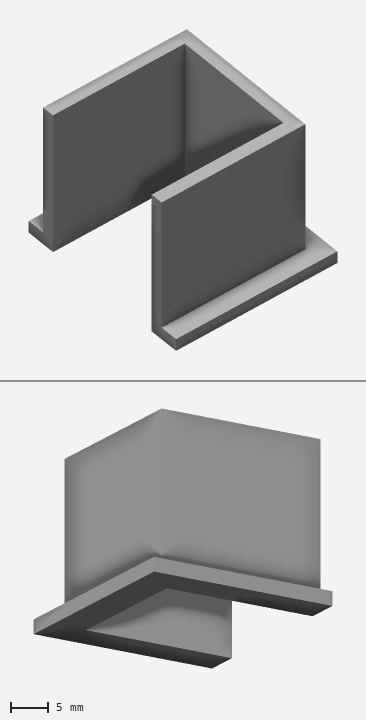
import cadquery as cq

overall_width = 30.5
overall_depth = 27.5
overall_height = 24.0

wall_thickness = 2.05
flange_thickness = 2.05
flange_overhang = 3.0

wall_width = overall_width - 2 * flange_overhang
wall_depth = overall_depth - flange_overhang
channel_width = wall_width - 2 * wall_thickness
channel_depth = wall_depth - wall_thickness


def block_from_front(width, depth, height):
    """Block centred on X, with its front face at Y = 0 and its base at Z = 0."""
    return cq.Workplane("XY").box(width, depth, height, centered=(True, False, False))


flange = block_from_front(overall_width, overall_depth, flange_thickness)
walls = block_from_front(wall_width, wall_depth, overall_height)
channel = block_from_front(channel_width, channel_depth, overall_height)

result = flange.union(walls).cut(channel)